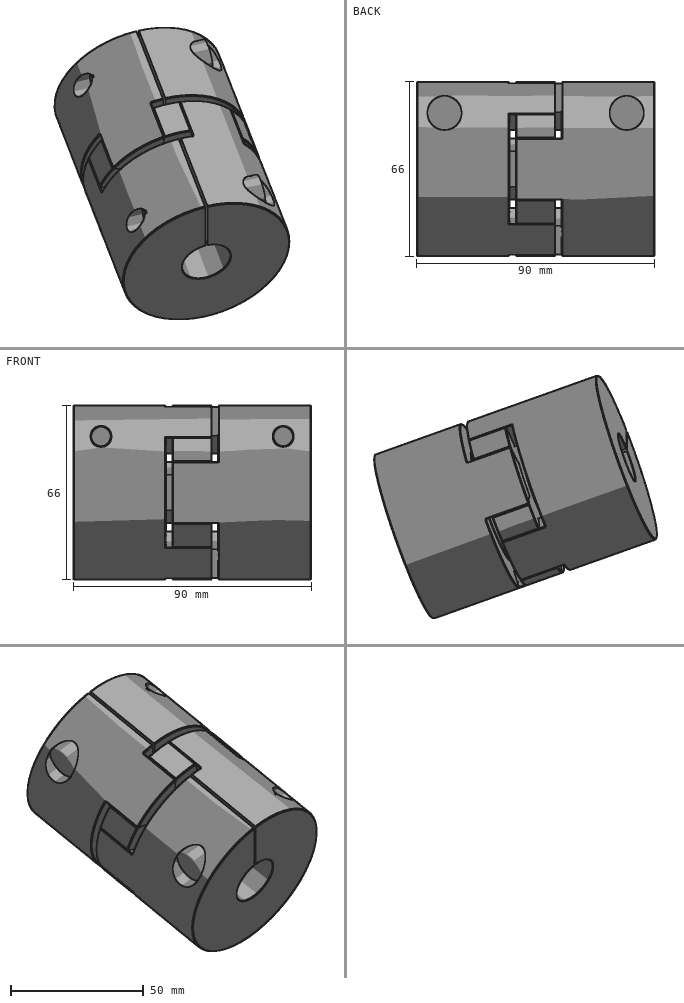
import cadquery as cq
import math

length = 90.0
outer_radius = 66.0 / 2
bore_radius = 19.0 / 2
edge_chamfer = 0.4
bore_chamfer = 0.3

hub_length = 35.0
leg_width = 15.0
jaw_length = (length + leg_width) / 2 - hub_length

jaw_count = 3
jaw_pitch = 360 / jaw_count
leg_count = 2 * jaw_count
leg_pitch = 360 / leg_count
jaw_inner_radius = 22.0
spider_hole_radius = 11.0
leg_half_width_inner = 4.6
leg_half_width_outer = 5.2
flank_radius = 20.0
jaw_root_fillet = 0.3

slit_width = 1.0
screw_inset = 10.5
screw_height = 21.2
shank_diameter = 8.0
head_diameter = 13.0
head_seat_y = 16.5
head_end_y = 24.75
shank_end_y = -21.0
head_fillet = 0.45
shank_end_chamfer = 0.4

FIRST_JAWS_ANGLE = 0
SECOND_JAWS_ANGLE = leg_pitch


def polar(radius, angle):
    """Point at an angle from +Y towards +Z."""
    a = math.radians(angle)
    return (radius * math.cos(a), radius * math.sin(a))


bevel_radius = outer_radius - edge_chamfer
bevel_angle = math.degrees(edge_chamfer / outer_radius)
leg_inner_half_angle = math.degrees(math.asin(leg_half_width_inner / jaw_inner_radius))
leg_outer_half_angle = math.degrees(math.asin(leg_half_width_outer / bevel_radius))


def sector(inner_half_angle, flank_half_angle, tip_radius, tip_half_angle):
    """Y-Z outline centred on +Y, with outward-curved flanks and a straight bevel above each flank."""
    inner_low = polar(jaw_inner_radius, -inner_half_angle)
    inner_high = polar(jaw_inner_radius, inner_half_angle)
    flank_low = polar(bevel_radius, -flank_half_angle)
    flank_high = polar(bevel_radius, flank_half_angle)
    tip_low = polar(tip_radius, -tip_half_angle)
    tip_high = polar(tip_radius, tip_half_angle)
    return (
        cq.Workplane("YZ")
        .moveTo(*inner_low)
        .radiusArc(flank_low, -flank_radius)
        .lineTo(*tip_low)
        .threePointArc((tip_radius, 0), tip_high)
        .lineTo(*flank_high)
        .radiusArc(inner_high, -flank_radius)
        .threePointArc((jaw_inner_radius, 0), inner_low)
        .close()
    )


def cylinder_along_y(diameter, start_y, end_y):
    """Cylinder on the axis of a clamp screw."""
    return (
        cq.Workplane("XZ", origin=(0, start_y, screw_height))
        .circle(diameter / 2)
        .extrude(start_y - end_y)
    )


def make_jaw_gap():
    """Cutter for the space between two jaws, centred on +Y, with the hub face at X = 0."""
    gap_flank_half_angle = leg_pitch / 2 + leg_outer_half_angle
    gap = sector(
        leg_pitch / 2 + leg_inner_half_angle,
        gap_flank_half_angle,
        outer_radius + edge_chamfer,
        gap_flank_half_angle + 2 * bevel_angle,
    ).extrude(jaw_length)
    root_edges = [
        edge
        for edge in gap.edges("<X").vals()
        if edge.geomType() == "LINE" or abs(edge.radius() - flank_radius) < edge_chamfer
    ]
    gap = gap.newObject(root_edges).fillet(jaw_root_fillet)
    face_bevel = (
        cq.Workplane("XY")
        .moveTo(-edge_chamfer, outer_radius)
        .lineTo(edge_chamfer, outer_radius)
        .lineTo(edge_chamfer, bevel_radius)
        .lineTo(0, bevel_radius)
        .close()
        .revolve(2 * gap_flank_half_angle, (0, 0, 0), (1, 0, 0))
        .rotate((0, 0, 0), (1, 0, 0), -gap_flank_half_angle)
    )
    return gap.union(face_bevel)


def make_hub_blank(first_jaw_angle):
    """Bored cylinder from X = 0 with three jaws pointing to +X and bevelled outer edges."""
    blank = cq.Workplane("YZ").circle(outer_radius).extrude(hub_length + jaw_length)
    blank = blank.edges().chamfer(edge_chamfer)
    bore = cq.Workplane("YZ").circle(bore_radius).extrude(hub_length)
    bore_bevel = (
        cq.Workplane("YZ").circle(bore_radius + bore_chamfer).extrude(bore_chamfer, taper=45)
    )
    jaw_core = cq.Workplane("YZ").circle(jaw_inner_radius).extrude(jaw_length)
    jaw_core = jaw_core.edges("<X").fillet(jaw_root_fillet).translate((hub_length, 0, 0))
    blank = blank.cut(bore).cut(bore_bevel).cut(jaw_core)
    jaw_gap = make_jaw_gap().translate((hub_length, 0, 0))
    for i in range(jaw_count):
        gap_angle = first_jaw_angle + (i + 0.5) * jaw_pitch
        blank = blank.cut(jaw_gap.rotate((0, 0, 0), (1, 0, 0), gap_angle))
    return blank


def make_hub(first_jaw_angle):
    """Clamp hub with its end face at X = 0."""
    slit = cq.Workplane("XY").box(
        hub_length, slit_width, outer_radius, centered=(False, True, False)
    )
    shank_hole = cylinder_along_y(shank_diameter, -outer_radius, head_seat_y)
    head_recess = cylinder_along_y(head_diameter, head_seat_y, outer_radius)
    screw_hole = shank_hole.union(head_recess).translate((screw_inset, 0, 0))
    return make_hub_blank(first_jaw_angle).cut(slit).cut(screw_hole)


def make_spider():
    """Six-legged insert centred on the origin, with rounded leg flanks."""
    spider = cq.Workplane("YZ").circle(jaw_inner_radius).circle(spider_hole_radius).extrude(leg_width)
    leg = sector(
        leg_inner_half_angle,
        leg_outer_half_angle,
        outer_radius,
        leg_outer_half_angle - bevel_angle,
    ).extrude(leg_width)
    tip_edges = cq.selectors.RadiusNthSelector(-1)
    leg = leg.edges("%CIRCLE").edges(tip_edges).chamfer(edge_chamfer)
    for i in range(leg_count):
        spider = spider.union(leg.rotate((0, 0, 0), (1, 0, 0), (i + 0.5) * leg_pitch))
    return spider.translate((-leg_width / 2, 0, 0))


def make_screw():
    """Cap screw on the plane X = 0, with its head towards +Y."""
    shank = cylinder_along_y(shank_diameter, shank_end_y, head_seat_y).faces("<Y").edges().chamfer(shank_end_chamfer)
    cap = cylinder_along_y(head_diameter, head_seat_y, head_end_y).faces(">Y").edges().fillet(head_fillet)
    return shank.union(cap)


def at_minus_x_end(body):
    return body.translate((-length / 2, 0, 0))


def at_plus_x_end(body):
    return at_minus_x_end(body).mirror("YZ")


first_hub = at_minus_x_end(make_hub(FIRST_JAWS_ANGLE))
second_hub = at_plus_x_end(make_hub(SECOND_JAWS_ANGLE))
spider = make_spider()
screws = [
    make_screw().translate((side * (length / 2 - screw_inset), 0, 0))
    for side in (-1, 1)
]

result = cq.Compound.makeCompound(
    [first_hub.val(), second_hub.val(), spider.val(), *[screw.val() for screw in screws]]
)